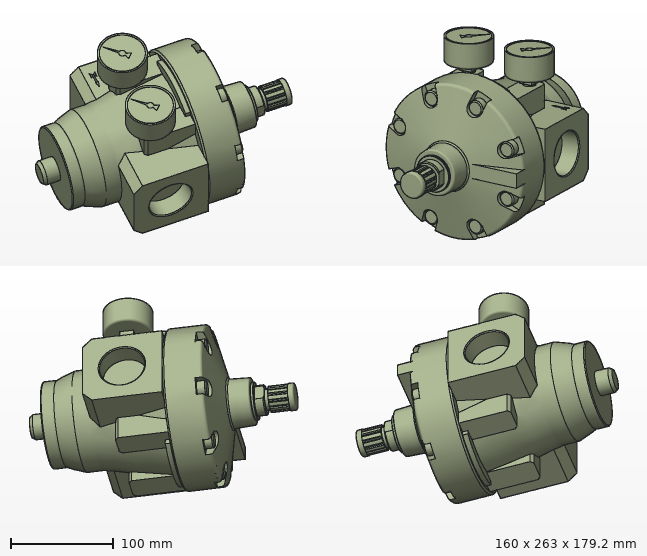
import cadquery as cq
import math


flange_radius = 160.0 / 2
flange_chamfer = 1.8
rim_y = 36.5
rim_round = 3.5
cone_angle = math.radians(14.4)
boss_fillet = 1.5
boss_base_radius = 24.5
boss_top_y = 75.7
boss_top_radius = 47.0 / 2
boss_round = 1.5

washer_radius = 37.5 / 2
washer_top_y = 79.0
washer_chamfer = 0.5
collar_radius = 15.0
collar_flat_width = 26.0
collar_top_y = 88.4
collar_chamfer = 1.0
neck_radius = 21.0 / 2
knob_base_y = 92.0
knob_rib_radius = 26.0 / 2
knob_lip_radius = 27.0 / 2
knob_lip_y = 111.8
knob_top_y = 117.8
knob_round = 2.0
groove_count = 12
groove_width = 3.2
groove_floor_width = 1.3
groove_depth = 1.3

screw_count = 8
screw_circle_radius = 66.5
screw_radius = 16.0 / 2
screw_top_y = 41.5
screw_chamfer = 1.3
pocket_radius = 8.5
pocket_floor_y = 32.3

tab_width = 15.0
tab_top_y = 52.0

body_root_radius = 66.5
body_radius = 100.0 / 2
body_cone_end_y = -79.0
body_end_y = -95.2
taper_end_y = -114.7
taper_end_radius = 42.5
taper_mid_y = -105.2
taper_mid_radius = 46.8
cap_radius = 86.0 / 2
cap_shoulder_y = -116.2
cap_end_y = -128.0
cap_chamfer = 1.0
pin_radius = 25.0 / 2
pin_tip_radius = 20.3 / 2
pin_tip_length = 3.5
pin_end_y = knob_top_y - 263.0

block_half_width = flange_radius
block_half_height = 37.5
block_chamfer = 9.2
port_y = -39.7
port_radius = 45.0 / 2
port_depth = 20.0
port_chamfer = 1.0

pillar_x = 35.0
pillar_width = 24.7
pillar_half_height = 62.3
pillar_length = 52.9
pillar_chamfer = 3.0
pad_half_width = 35.2
pad_radius = 75.7
pad_thickness = 5.3

arrow_tail_x = -68.0
arrow_length = 18.5
arrow_y = -60.5
arrow_half_height = 3.0
arrow_head_length = 5.8
arrow_shaft_half = 0.8
arrow_depth = 0.3

gauge_y = -42.3
gauge_radius = 49.0 / 2
gauge_bottom_z = 72.3
gauge_top_z = 99.2
gauge_round = 2.4
dial_radius = 45.0 / 2
dial_depth = 0.5
stem_width = 14.0
stem_bottom_z = 64.2
stem_neck_radius = 13.2 / 2
needle_height = 0.3
needle_reach = 20.5
needle_hub_radius = 3.5
needle_root_half = 1.3
needle_tail_reach = 8.2
needle_tail_half = 3.7
needle_direction = -135.0


def turned(outline):
    """Revolve a closed outline drawn as (radius, y) around the Y axis."""
    return outline.close().revolve(360, (0, 0, 0), (0, 1, 0))


def cylinder_y(radius, start_y, end_y, x=0):
    """Cylinder along Y from start_y to the higher end_y."""
    plane = cq.Plane(origin=(x, start_y, 0), xDir=(1, 0, 0), normal=(0, 1, 0))
    return cq.Workplane(plane).circle(radius).extrude(end_y - start_y)


def box_between(low, high):
    """Axis-aligned box between two opposite corners."""
    sizes = [b - a for a, b in zip(low, high)]
    return cq.Workplane("XY").box(*sizes, centered=False).translate(low)


def make_bonnet():
    rim_center_radius = flange_radius - rim_round
    cone_rim_radius = rim_center_radius + rim_round * math.sin(cone_angle)
    cone_rim_y = rim_y + rim_round * math.cos(cone_angle)
    cone_top_radius = boss_base_radius + boss_fillet
    cone_top_y = cone_rim_y + (cone_rim_radius - cone_top_radius) * math.tan(cone_angle)
    shell = turned(
        cq.Workplane("XY")
        .moveTo(0, 0)
        .lineTo(flange_radius - flange_chamfer, 0)
        .lineTo(flange_radius, flange_chamfer)
        .lineTo(flange_radius, rim_y)
        .radiusArc((cone_rim_radius, cone_rim_y), -rim_round)
        .lineTo(cone_top_radius, cone_top_y)
        .lineTo(boss_base_radius, cone_top_y + boss_fillet)
        .lineTo(boss_top_radius, boss_top_y - boss_round)
        .radiusArc((boss_top_radius - boss_round, boss_top_y), -boss_round)
        .lineTo(0, boss_top_y)
    )
    tab = box_between(
        (-flange_radius, rim_y - rim_round, -tab_width / 2),
        (-boss_top_radius, tab_top_y, tab_width / 2),
    ).intersect(cylinder_y(flange_radius, 0, tab_top_y))
    return add_screws(shell.union(tab))


def add_screws(bonnet):
    """Cut the outward-opening pockets and leave a round screw head in each."""
    pocket = cylinder_y(pocket_radius, pocket_floor_y, boss_top_y, screw_circle_radius).union(
        box_between(
            (screw_circle_radius, pocket_floor_y, -pocket_radius),
            (flange_radius + pocket_radius, boss_top_y, pocket_radius),
        )
    )
    screw = (
        cylinder_y(screw_radius, pocket_floor_y, screw_top_y, screw_circle_radius)
        .faces(">Y").edges().chamfer(screw_chamfer)
    )
    step = 360 / screw_count
    for index in range(screw_count):
        angle = (index + 0.5) * step
        bonnet = bonnet.cut(pocket.rotate((0, 0, 0), (0, 1, 0), angle))
        bonnet = bonnet.union(screw.rotate((0, 0, 0), (0, 1, 0), angle))
    return bonnet


def make_collar():
    """Round collar with two wrench flats facing -X and +X."""
    collar = (
        cylinder_y(collar_radius, washer_top_y, collar_top_y)
        .faces(">Y").edges().chamfer(collar_chamfer)
    )
    flats = box_between(
        (-collar_flat_width / 2, washer_top_y, -collar_radius),
        (collar_flat_width / 2, collar_top_y, collar_radius),
    )
    return collar.intersect(flats)


def make_knob():
    knob = cylinder_y(knob_rib_radius, knob_base_y, knob_lip_y)
    floor_radius = knob_rib_radius - groove_depth
    groove = (
        cq.Workplane(cq.Plane(origin=(0, knob_base_y, 0), xDir=(1, 0, 0), normal=(0, 1, 0)))
        .polyline(
            [
                (floor_radius, -groove_floor_width / 2),
                (knob_rib_radius, -groove_width / 2),
                (knob_rib_radius, groove_width / 2),
                (floor_radius, groove_floor_width / 2),
            ]
        )
        .close()
        .extrude(knob_lip_y - knob_base_y)
    )
    step = 360 / groove_count
    for index in range(groove_count):
        knob = knob.cut(groove.rotate((0, 0, 0), (0, 1, 0), (index + 0.5) * step))
    lip = cylinder_y(knob_lip_radius, knob_lip_y, knob_top_y).faces(">Y").edges().fillet(knob_round)
    return knob.union(lip)


def make_spindle():
    washer = (
        cylinder_y(washer_radius, boss_top_y, washer_top_y)
        .faces("<Y or >Y").edges().chamfer(washer_chamfer)
    )
    neck = cylinder_y(neck_radius, washer_top_y, knob_lip_y)
    return washer.union(make_collar()).union(neck).union(make_knob())


def make_body_barrel():
    return turned(
        cq.Workplane("XY")
        .moveTo(0, 0)
        .lineTo(body_root_radius, 0)
        .lineTo(body_radius, body_cone_end_y)
        .lineTo(body_radius, body_end_y)
        .threePointArc((taper_mid_radius, taper_mid_y), (taper_end_radius, taper_end_y))
        .lineTo(cap_radius, cap_shoulder_y)
        .lineTo(cap_radius, cap_end_y + cap_chamfer)
        .lineTo(cap_radius - cap_chamfer, cap_end_y)
        .lineTo(pin_radius, cap_end_y)
        .lineTo(pin_radius, pin_end_y + pin_tip_length)
        .lineTo(pin_tip_radius, pin_end_y)
        .lineTo(0, pin_end_y)
    )


def make_block():
    return (
        box_between(
            (-block_half_width, body_cone_end_y, -block_half_height),
            (block_half_width, 0, block_half_height),
        )
        .faces("<Y").edges("|X").chamfer(block_chamfer)
    )


def make_pillar(x):
    return (
        box_between(
            (x - pillar_width / 2, -pillar_length, -pillar_half_height),
            (x + pillar_width / 2, 0, pillar_half_height),
        )
        .faces("<Y").edges("|Z").chamfer(pillar_chamfer)
    )


def make_pads():
    """Upper and lower pads: one strip across the face, rounded at both ends."""
    strip = box_between(
        (-pad_half_width, -pad_thickness, -pad_radius),
        (pad_half_width, 0, pad_radius),
    )
    return strip.intersect(cylinder_y(pad_radius, -pad_thickness, 0))


def make_port(side):
    """Blind port bore with a chamfered mouth; side is -1 or +1."""
    mouth_radius = port_radius + port_chamfer
    bore = (
        cq.Workplane("XY")
        .moveTo(block_half_width, 0)
        .lineTo(block_half_width, mouth_radius)
        .lineTo(block_half_width - port_chamfer, port_radius)
        .lineTo(block_half_width - port_depth, port_radius)
        .lineTo(block_half_width - port_depth, 0)
        .close()
        .revolve(360, (0, 0, 0), (1, 0, 0))
    )
    if side < 0:
        bore = bore.mirror("YZ")
    return bore.translate((0, port_y, 0))


def make_flow_arrow():
    head_x = arrow_length - arrow_head_length
    upper = [
        (0, arrow_half_height),
        (arrow_head_length, arrow_half_height),
        (arrow_head_length - arrow_half_height, arrow_shaft_half),
        (head_x, arrow_shaft_half),
        (head_x, 2 * arrow_shaft_half),
    ]
    lower = [(x, -y) for x, y in reversed(upper)]
    notch = (arrow_half_height, 0)
    return (
        cq.Workplane("XY")
        .polyline(upper + [(arrow_length, 0)] + lower + [notch])
        .close()
        .extrude(arrow_depth)
        .translate((arrow_tail_x, arrow_y, block_half_height - arrow_depth))
    )


def make_regulator():
    body = make_body_barrel().union(make_block()).union(make_pads())
    for side in (-1, 1):
        body = body.union(make_pillar(side * pillar_x))
    for side in (-1, 1):
        body = body.cut(make_port(side))
    body = body.cut(make_flow_arrow())
    return body.union(make_bonnet()).union(make_spindle())


def make_needle():
    """Pointer, round hub and flared tail lying along +X at Z = 0."""
    pointer = cq.Workplane("XY").polyline(
        [(0, needle_root_half), (needle_reach, 0), (0, -needle_root_half)]
    ).close().extrude(needle_height)
    hub = cq.Workplane("XY").circle(needle_hub_radius).extrude(needle_height)
    tail = cq.Workplane("XY").polyline(
        [
            (0, 0),
            (-needle_hub_radius, -needle_root_half),
            (-needle_tail_reach, -needle_tail_half),
            (-needle_tail_reach, needle_tail_half),
            (-needle_hub_radius, needle_root_half),
        ]
    ).close().extrude(needle_height)
    return pointer.union(hub).union(tail)


def make_gauge(x):
    case = (
        cq.Workplane("XY").workplane(offset=gauge_bottom_z)
        .circle(gauge_radius).extrude(gauge_top_z - gauge_bottom_z)
        .faces("<Z").edges().fillet(gauge_round)
        .faces(">Z").workplane().circle(dial_radius).cutBlind(-dial_depth)
    )
    needle = (
        make_needle()
        .rotate((0, 0, 0), (0, 0, 1), needle_direction)
        .translate((0, 0, gauge_top_z - dial_depth))
    )
    stem = (
        cq.Workplane("XY").workplane(offset=stem_bottom_z)
        .rect(stem_width, stem_width).extrude(gauge_bottom_z - stem_bottom_z)
    )
    neck = (
        cq.Workplane("XY").workplane(offset=pillar_half_height)
        .circle(stem_neck_radius).extrude(stem_bottom_z - pillar_half_height)
    )
    return case.union(needle).union(stem).union(neck).translate((x, gauge_y, 0))


regulator = make_regulator()
gauges = [make_gauge(side * pillar_x) for side in (-1, 1)]
result = cq.Compound.makeCompound([regulator.val(), *[gauge.val() for gauge in gauges]])